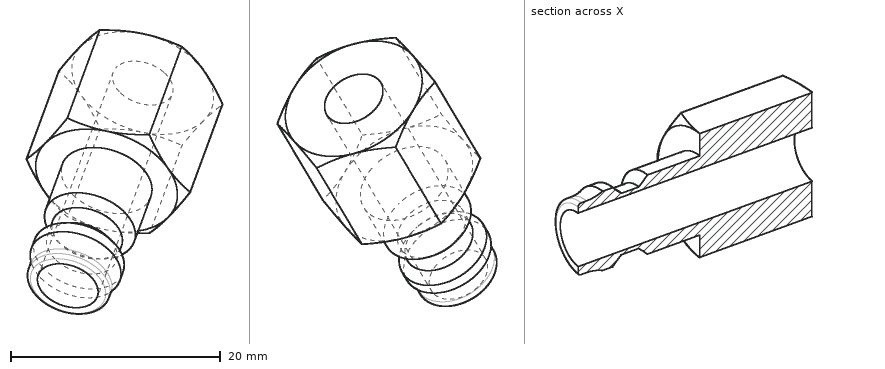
import cadquery as cq
import math

total_length = 27.0
hex_across_flats = 14.0
hex_length = 13.0
hex_chamfer_angle = 30.0
corner_clearance = 0.27
shank_diameter = 9.0
shank_length = 6.02
neck_diameter = 7.0
neck_length = 2.0
collar_length = 1.2
flare_length = 1.84
nose_diameter = 8.15
nose_edge_radius = 0.35
bore_diameter = 6.0

hex_corner_radius = hex_across_flats / math.sqrt(3)
face_radius = hex_across_flats / 2
shank_radius = shank_diameter / 2
neck_radius = neck_diameter / 2
nose_radius = nose_diameter / 2
cone_length = shank_radius - neck_radius
neck_start = -shank_length - cone_length
neck_end = neck_start - neck_length
collar_start = neck_end - cone_length
collar_end = collar_start - collar_length
nose_start = collar_end - flare_length
tip = hex_length - total_length


def revolve_about_y(profile):
    return profile.close().revolve(360, (0, 0, 0), (0, 1, 0))


def make_hex_nut():
    """Hexagon with corners on X, both ends trimmed by a cone."""
    prism = (
        cq.Workplane("XZ")
        .polygon(6, 2 * hex_corner_radius)
        .extrude(-hex_length)
    )
    slope = math.tan(math.radians(hex_chamfer_angle))
    outer_radius = hex_corner_radius + corner_clearance
    drop = (outer_radius - face_radius) * slope
    envelope = revolve_about_y(
        cq.Workplane("XY")
        .moveTo(0, 0)
        .lineTo(face_radius, 0)
        .lineTo(outer_radius, drop)
        .lineTo(outer_radius, hex_length - drop)
        .lineTo(face_radius, hex_length)
        .lineTo(0, hex_length)
    )
    return prism.intersect(envelope)


def make_plug():
    """Turned shank, locking neck, collar and a concave flare tangent to the nose."""
    width = shank_radius - nose_radius
    flare_radius = (flare_length**2 + width**2) / (2 * width)
    half_sweep = math.asin(flare_length / flare_radius) / 2
    flare_middle = (
        nose_radius + flare_radius * (1 - math.cos(half_sweep)),
        nose_start + flare_radius * math.sin(half_sweep),
    )
    return revolve_about_y(
        cq.Workplane("XY")
        .moveTo(0, 0)
        .lineTo(shank_radius, 0)
        .lineTo(shank_radius, -shank_length)
        .lineTo(neck_radius, neck_start)
        .lineTo(neck_radius, neck_end)
        .lineTo(shank_radius, collar_start)
        .lineTo(shank_radius, collar_end)
        .threePointArc(flare_middle, (nose_radius, nose_start))
        .lineTo(nose_radius, tip + nose_edge_radius)
        .radiusArc((nose_radius - nose_edge_radius, tip), nose_edge_radius)
        .lineTo(0, tip)
    )


def make_bore():
    """Plain bore through the whole length."""
    return (
        cq.Workplane("XZ", origin=(0, hex_length, 0))
        .circle(bore_diameter / 2)
        .extrude(total_length)
    )


result = make_hex_nut().union(make_plug()).cut(make_bore())